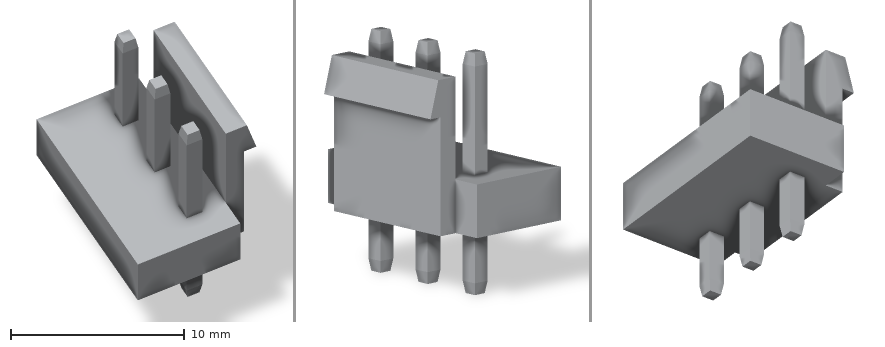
import cadquery as cq

pin_count = 3
pin_pitch = 3.96
pin_width = 1.02
pin_tip_width = 0.78
pin_tip_length = 0.74
pin_length = 14.33
pin_below_body = 3.96

body_length = 12.52
body_depth = 6.69
body_height = 3.18
pin_row_to_body_back = 2.04

row_span = (pin_count - 1) * pin_pitch
latch_width = row_span + pin_width
latch_height = 9.28
latch_thickness = 1.2
latch_top_thickness = 1.38
hook_reach = 2.0
hook_height = 2.22


def make_body():
    front_y = pin_row_to_body_back - body_depth
    return (
        cq.Workplane("XY")
        .center(0, front_y + body_depth / 2)
        .rect(body_length, body_depth)
        .extrude(body_height)
    )


def make_latch():
    """Upright wall with an outward hook whose outer face slopes in towards the top."""
    inner_y = pin_row_to_body_back
    hook_bottom_z = latch_height - hook_height
    profile = [
        (inner_y, 0),
        (inner_y + latch_thickness, 0),
        (inner_y + latch_thickness, hook_bottom_z),
        (inner_y + hook_reach, hook_bottom_z),
        (inner_y + latch_top_thickness, latch_height),
        (inner_y, latch_height),
    ]
    return cq.Workplane("YZ").polyline(profile).close().extrude(latch_width / 2, both=True)


def make_pin(x):
    """Square pin with a tapered tip at each end."""
    shank_length = pin_length - 2 * pin_tip_length
    shank_bottom_z = pin_tip_length - pin_below_body
    shank = (
        cq.Workplane("XY", origin=(x, 0, shank_bottom_z))
        .rect(pin_width, pin_width)
        .extrude(shank_length)
    )
    pin = shank
    for face in (">Z", "<Z"):
        tip = (
            shank.faces(face)
            .workplane(centerOption="CenterOfMass")
            .rect(pin_width, pin_width)
            .workplane(offset=pin_tip_length)
            .rect(pin_tip_width, pin_tip_width)
            .loft(combine=False)
        )
        pin = pin.union(tip)
    return pin


result = make_body().union(make_latch())
for index in range(pin_count):
    result = result.union(make_pin(index * pin_pitch - row_span / 2))